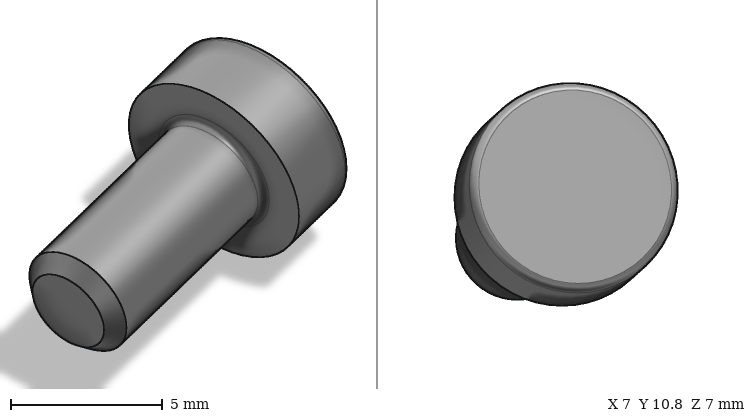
import cadquery as cq

total_length = 10.8
head_diameter = 7.0
head_height = 2.8
head_edge_radius = 0.27
shank_diameter = 4.0
neck_fillet_radius = 0.27
tip_chamfer = 0.53

shank_length = total_length - head_height


def make_head():
    """Plain cylindrical head with a rounded outer edge on its free end."""
    head = cq.Workplane("XZ").circle(head_diameter / 2).extrude(-head_height)
    return head.faces(">Y").edges().fillet(head_edge_radius)


def make_shank():
    """Cylindrical shank with a chamfered tip."""
    shank = cq.Workplane("XZ").circle(shank_diameter / 2).extrude(shank_length)
    return shank.faces("<Y").edges().chamfer(tip_chamfer)


def round_neck(screw):
    """Fillet the inside corner where the shank meets the bearing face."""
    bearing_edges = screw.edges("%CIRCLE").edges(cq.selectors.BoxSelector(
        (-head_diameter, -neck_fillet_radius, -head_diameter),
        (head_diameter, neck_fillet_radius, head_diameter),
    ))
    neck_edge = bearing_edges.edges(cq.selectors.RadiusNthSelector(0))
    return neck_edge.fillet(neck_fillet_radius)


result = round_neck(make_head().union(make_shank()))